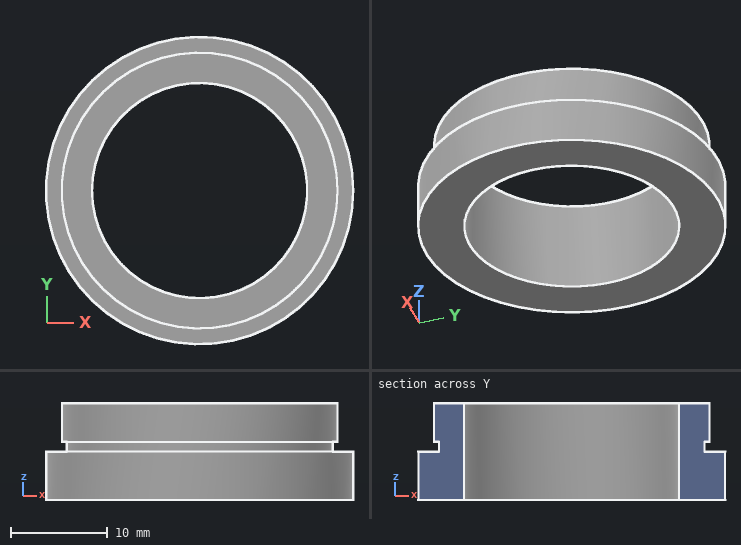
import cadquery as cq

flange_diameter = 31.75
collar_diameter = 28.48
groove_diameter = 27.5
bore_diameter = 22.2

total_height = 10.0
flange_height = total_height / 2
collar_height = 4.0
groove_height = total_height - flange_height - collar_height


def add_disc(body, diameter, height):
    """Stack a coaxial disc on the top face of the body."""
    return body.faces(">Z").workplane().circle(diameter / 2).extrude(height)


body = cq.Workplane("XY").circle(flange_diameter / 2).extrude(flange_height)
body = add_disc(body, groove_diameter, groove_height)
body = add_disc(body, collar_diameter, collar_height)

result = body.faces(">Z").workplane().hole(bore_diameter)